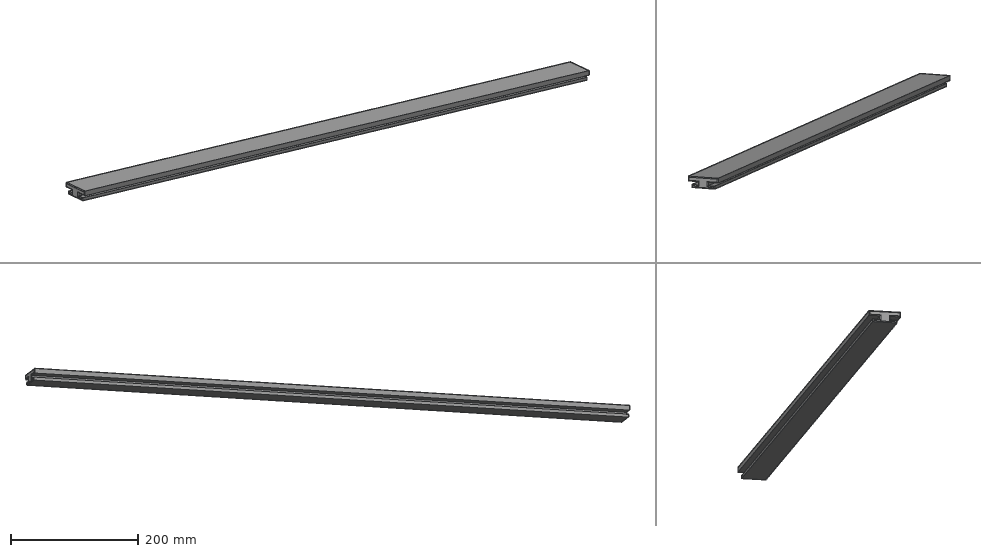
import cadquery as cq

length = 975.0
plate_width = 51.0
plate_thickness = 8.0
web_width = 17.0
web_height = 5.2
foot_width = 39.0
foot_thickness = 5.0
end_chamfer = 1.5

web_top = foot_thickness + web_height
height = web_top + plate_thickness


def bar(width, bottom, top):
    """Full-length rectangular bar centred in X and Y between two heights."""
    return cq.Workplane("XY").workplane(offset=bottom).rect(width, length).extrude(top - bottom)


foot = bar(foot_width, 0, foot_thickness)
web = bar(web_width, foot_thickness, web_top)
plate = bar(plate_width, web_top, height)
rail = foot.union(web).union(plate)

result = rail.faces("<Y or >Y").chamfer(end_chamfer)